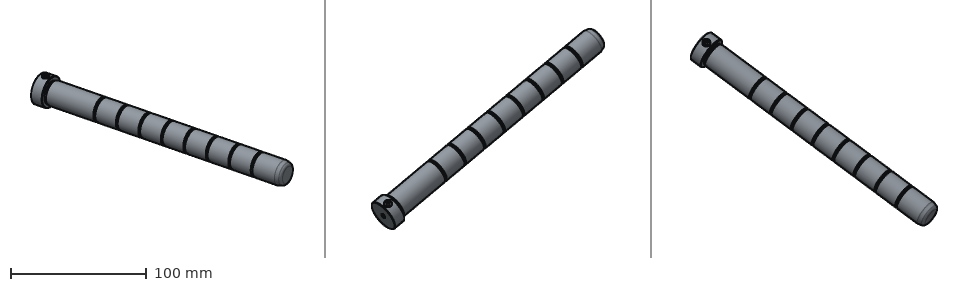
import cadquery as cq
import math

total_length = 220.0
head_diameter = 25.0
head_length = 10.1
head_chamfer = 0.5
shaft_diameter = 20.0

groove_width = 2.0
groove_depth = 0.55
groove_count = 8
first_groove_center = 55.0
last_groove_center = 195.0

tip_length = 5.0
tip_taper_angle = 15.0
tip_round = 2.5

axial_mouth_diameter = 4.5
axial_mouth_depth = 1.0
axial_hole_diameter = 2.6

side_counterbore_diameter = 6.2
side_counterbore_depth = 0.9
side_bore_diameter = 4.8
side_bore_depth = 1.5
side_hole_diameter = 2.2

head_radius = head_diameter / 2
shaft_radius = shaft_diameter / 2
neck_radius = shaft_radius - groove_depth
groove_pitch = (last_groove_center - first_groove_center) / (groove_count - 1)
side_hole_center = head_length / 2


def revolve_about_x(points):
    """Revolve a closed (x, radius) outline about the pin axis."""
    return cq.Workplane("XY").polyline(points).close().revolve(360, (0, 0, 0), (1, 0, 0))


def make_head():
    head = cq.Workplane("YZ").circle(head_radius).extrude(head_length)
    return head.edges("%CIRCLE").chamfer(head_chamfer)


def make_shaft():
    tip_start = total_length - tip_length
    end_radius = shaft_radius - tip_length * math.tan(math.radians(tip_taper_angle))
    undercut_end = head_length + groove_width
    shaft = revolve_about_x([
        (0, 0),
        (0, neck_radius),
        (undercut_end - groove_depth, neck_radius),
        (undercut_end, shaft_radius),
        (tip_start, shaft_radius),
        (total_length, end_radius),
        (total_length, 0),
    ])
    return shaft.faces(">X").edges().fillet(tip_round)


def make_groove(center):
    """V-shaped ring cutter, sharp at the groove bottom."""
    half_width = groove_width / 2
    return revolve_about_x([
        (center, neck_radius),
        (center + half_width, shaft_radius),
        (center + half_width, head_radius),
        (center - half_width, head_radius),
        (center - half_width, shaft_radius),
    ])


def make_axial_hole():
    """Hole from the head face to the centre line of the radial hole."""
    return revolve_about_x([
        (0, 0),
        (0, axial_mouth_diameter / 2),
        (axial_mouth_depth, axial_hole_diameter / 2),
        (side_hole_center, axial_hole_diameter / 2),
        (side_hole_center, 0),
    ])


def make_side_hole():
    """Hole from the top of the head, narrowing in steps, to the far wall of the axial hole."""
    bottom_depth = head_radius + axial_hole_diameter / 2
    steps = [
        (side_counterbore_diameter, side_counterbore_depth),
        (side_bore_diameter, side_bore_depth),
        (side_hole_diameter, bottom_depth),
    ]
    top = cq.Workplane("XY", origin=(side_hole_center, 0, head_radius))
    hole = cq.Workplane("XY")
    for diameter, depth in steps:
        hole = hole.union(top.circle(diameter / 2).extrude(-depth))
    return hole


result = make_head().union(make_shaft())

for index in range(groove_count):
    result = result.cut(make_groove(first_groove_center + index * groove_pitch))

result = result.cut(make_axial_hole()).cut(make_side_hole())